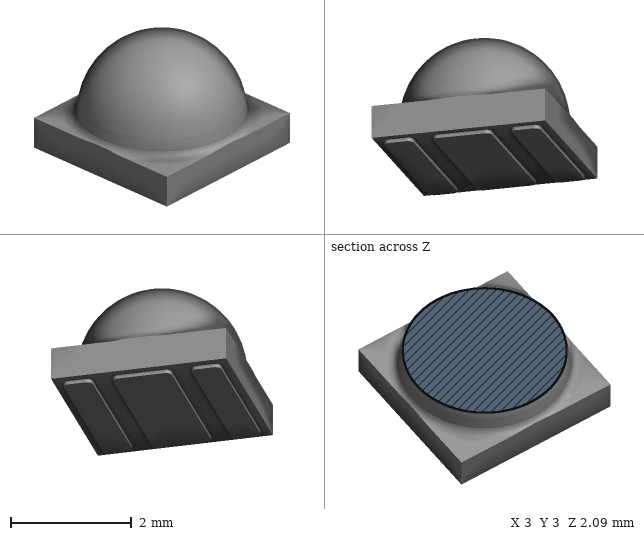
import cadquery as cq
import math

side = 3.0
total_height = 2.09

pad_thickness = 0.063
substrate_top = 0.435
cover_top = 0.625
skirt_bottom = 0.73
skirt_top = 0.933

cove_outer_radius = 1.585
skirt_bottom_radius = 1.43
skirt_top_radius = 1.392

pad_length = 2.7
pad_corner_radius = 0.102
center_pad_width = 1.008
side_pad_width = 0.5
side_pad_offset = (pad_length - side_pad_width) / 2


def slab(bottom, top):
    """Square layer of the package between two levels."""
    return cq.Workplane("XY").workplane(offset=bottom).rect(side, side).extrude(top - bottom)


def contact_pad(x_center, width):
    """Long contact strip with rounded vertical corners."""
    return (
        cq.Workplane("XY")
        .center(x_center, 0)
        .rect(width, pad_length)
        .extrude(pad_thickness)
        .edges("|Z")
        .fillet(pad_corner_radius)
    )


def lens():
    """Spherical dome on a tapered skirt, with a concave foot trimmed to the package."""
    dome_height = total_height - skirt_top
    dome_radius = (skirt_top_radius**2 + dome_height**2) / (2 * dome_height)
    sphere_z = total_height - dome_radius
    half_angle = math.atan2(skirt_top_radius, skirt_top - sphere_z) / 2
    dome_middle = (
        dome_radius * math.sin(half_angle),
        sphere_z + dome_radius * math.cos(half_angle),
    )

    cove_width = cove_outer_radius - skirt_bottom_radius
    cove_rise = skirt_bottom - cover_top
    cove_radius = (cove_width**2 + cove_rise**2) / (2 * cove_rise)
    cove_half_angle = math.atan2(cove_rise, cove_width)
    cove_middle = (
        cove_outer_radius - cove_radius * math.sin(cove_half_angle),
        cover_top + cove_radius * (1 - math.cos(cove_half_angle)),
    )

    profile = (
        cq.Workplane("XZ")
        .moveTo(0, cover_top)
        .lineTo(cove_outer_radius, cover_top)
        .threePointArc(cove_middle, (skirt_bottom_radius, skirt_bottom))
        .lineTo(skirt_top_radius, skirt_top)
        .threePointArc(dome_middle, (0, total_height))
        .close()
    )
    body = profile.revolve(360, (0, 0, 0), (0, 1, 0))
    return body.intersect(slab(cover_top, total_height))


result = slab(pad_thickness, substrate_top)
result = result.union(slab(substrate_top, cover_top), clean=False)
result = result.union(lens(), clean=False)

result = result.union(contact_pad(0, center_pad_width), clean=False)
for direction in (-1, 1):
    side_pad = contact_pad(direction * side_pad_offset, side_pad_width)
    result = result.union(side_pad, clean=False)